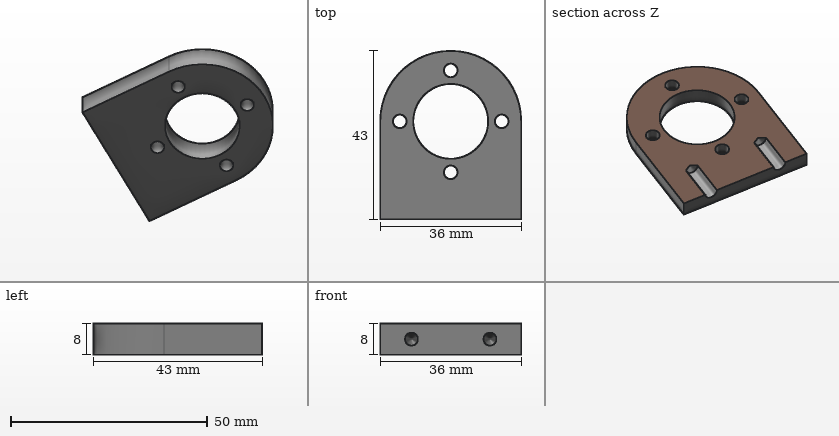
import cadquery as cq
import math

length = 43.0
width = 36.0
thickness = 8.0
end_radius = width / 2
straight_length = length - end_radius

bore_diameter = 19.0
bolt_hole_diameter = 3.4
bolt_circle_radius = 13.0
bolt_hole_count = 4

end_hole_diameter = 3.3
end_hole_spacing = 20.0
end_hole_depth = 10.0
drill_point_angle = 118.0


def make_plate():
    """Plate on Z = 0 with the centre of its round end at the origin."""
    return (
        cq.Workplane("XY")
        .moveTo(-end_radius, -straight_length)
        .lineTo(end_radius, -straight_length)
        .lineTo(end_radius, 0)
        .threePointArc((0, end_radius), (-end_radius, 0))
        .close()
        .extrude(thickness)
    )


def make_through_holes():
    """Central bore and its ring of bolt holes."""
    bore = cq.Workplane("XY").circle(bore_diameter / 2).extrude(thickness)
    bolt_holes = (
        cq.Workplane("XY")
        .polarArray(bolt_circle_radius, 0, 360, bolt_hole_count)
        .circle(bolt_hole_diameter / 2)
        .extrude(thickness)
    )
    return bore.union(bolt_holes)


def make_end_hole(x):
    """Blind hole with a conical bottom, running in +Y from the flat end."""
    radius = end_hole_diameter / 2
    tip_length = radius / math.tan(math.radians(drill_point_angle / 2))
    drill = (
        cq.Workplane("XY")
        .lineTo(radius, 0)
        .lineTo(radius, end_hole_depth)
        .lineTo(0, end_hole_depth + tip_length)
        .close()
        .revolve(360, (0, 0, 0), (0, 1, 0))
    )
    return drill.translate((x, -straight_length, thickness / 2))


result = make_plate().cut(make_through_holes())
for side in (-1, 1):
    result = result.cut(make_end_hole(side * end_hole_spacing / 2))